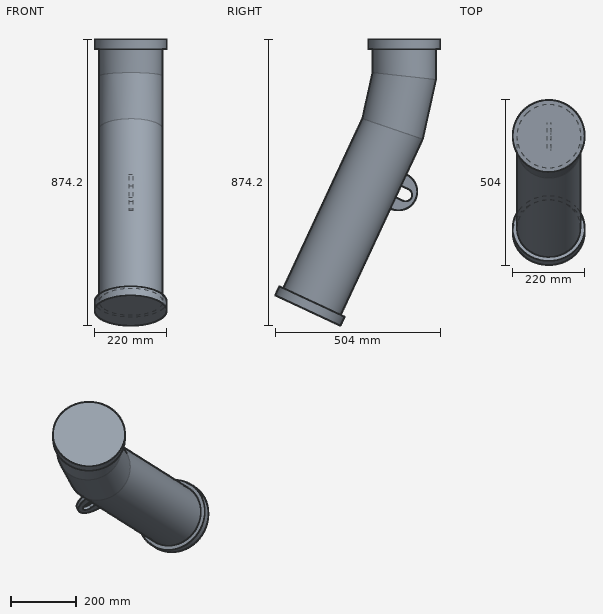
import cadquery as cq
import math

pipe_diameter = 194.0
pipe_radius = pipe_diameter / 2
bend_angle = 12.5
upper_length = 112.0
middle_length = 165.0
lower_length = 612.0

flange_diameter = 220.0
flange_thickness = 31.0

lug_radius = 58.0
lug_thickness = 12.0
lug_distance = 166.0
slot_width = 38.5
slot_reach = 44.0


def run_direction(bends):
    """Downward unit vector of the run that follows the given number of bends."""
    angle = math.radians(bends * bend_angle)
    return cq.Vector(0, -math.sin(angle), -math.cos(angle))


lower_direction = run_direction(2)
top_center = cq.Vector(0, 0, 0)
upper_joint = top_center + run_direction(0) * upper_length
lower_joint = upper_joint + run_direction(1) * middle_length
bottom_center = lower_joint + lower_direction * lower_length


def make_pipe():
    points = [top_center, upper_joint, lower_joint, bottom_center]
    path = cq.Workplane("YZ").polyline([(p.y, p.z) for p in points])
    return cq.Workplane("XY").circle(pipe_radius).sweep(path, transition="right")


def make_flange(center, inward):
    """Disc whose outer face is at center and which thickens along inward."""
    face = cq.Plane(origin=center, xDir=(1, 0, 0), normal=inward)
    return cq.Workplane(face).circle(flange_diameter / 2).extrude(flange_thickness)


def make_lug():
    """Slotted round plate centred on the pipe surface, its inner half within the pipe."""
    outward = cq.Vector(0, -lower_direction.z, lower_direction.y)
    center = lower_joint + lower_direction * lug_distance + outward * pipe_radius
    plane = cq.Plane(origin=center, xDir=outward, normal=(1, 0, 0))
    plate = cq.Workplane(plane).circle(lug_radius).extrude(lug_thickness / 2, both=True)
    slot = (
        cq.Workplane(plane)
        .center(slot_reach / 2 - slot_width / 2, 0)
        .slot2D(slot_reach + slot_width, slot_width)
        .extrude(lug_thickness, both=True)
    )
    return plate.cut(slot)


result = (
    make_pipe()
    .union(make_flange(top_center, run_direction(0)))
    .union(make_flange(bottom_center, -lower_direction))
    .union(make_lug())
)